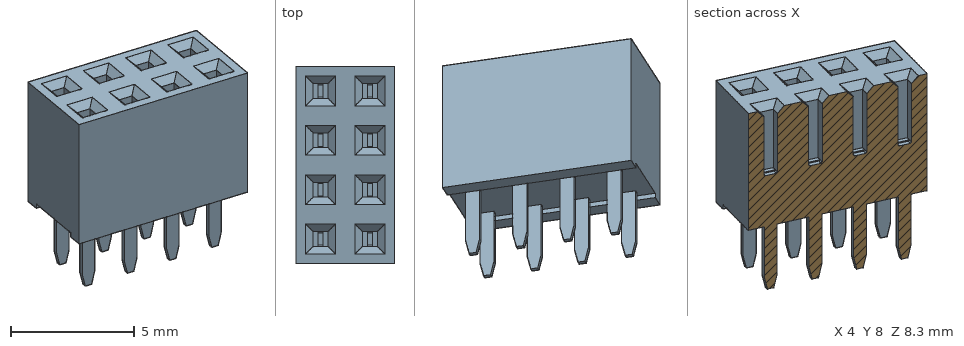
import cadquery as cq

pitch = 2.0
columns = 2
rows = 4
body_width = columns * pitch
body_length = rows * pitch
total_height = 8.3
body_height = 5.6
foot_height = 0.2
foot_width = 0.66

mouth_size = 1.2
throat_size = 0.6
lead_in_depth = (mouth_size - throat_size) / 2
well_depth = 2.99

slot_floor_length = 0.5
slot_depth = (throat_size - slot_floor_length) / 2

pin_thickness = 0.2
pin_width = 0.6
tip_width = 0.3
tip_height = 0.6

top_z = total_height
body_bottom_z = top_z - body_height
pin_root_z = body_bottom_z + foot_height


def make_housing():
    """Block with a shallow channel along Y that leaves a foot on each side."""
    block = cq.Workplane("XY").box(body_width, body_length, body_height, centered=(True, True, False))
    channel_width = body_width - 2 * foot_width
    channel = cq.Workplane("XY").box(channel_width, body_length, foot_height, centered=(True, True, False))
    return block.cut(channel).translate((0, 0, body_bottom_z))


def make_cavity():
    """Square well with a tapered lead-in and a shallow slot in its floor."""
    floor_z = top_z - well_depth
    well = (
        cq.Workplane("XY", origin=(0, 0, floor_z))
        .rect(throat_size, throat_size)
        .extrude(well_depth)
    )
    lead_in = (
        cq.Workplane("XY", origin=(0, 0, top_z - lead_in_depth))
        .rect(throat_size, throat_size)
        .workplane(offset=lead_in_depth)
        .rect(mouth_size, mouth_size)
        .loft(ruled=True)
    )
    slot = (
        cq.Workplane("XY", origin=(0, 0, floor_z - slot_depth))
        .rect(pin_thickness, slot_floor_length)
        .workplane(offset=slot_depth)
        .rect(pin_thickness, throat_size)
        .loft(ruled=True)
    )
    return well.union(lead_in).union(slot)


def make_pin():
    """Flat pin that narrows in Y towards its blunt tip."""
    outline = [
        (-tip_width / 2, 0),
        (tip_width / 2, 0),
        (pin_width / 2, tip_height),
        (pin_width / 2, pin_root_z),
        (-pin_width / 2, pin_root_z),
        (-pin_width / 2, tip_height),
    ]
    return cq.Workplane("YZ").polyline(outline).close().extrude(pin_thickness / 2, both=True)


cavity = make_cavity()
pin = make_pin()
result = make_housing()
for column in range(columns):
    for row in range(rows):
        x = (column - (columns - 1) / 2) * pitch
        y = (row - (rows - 1) / 2) * pitch
        result = result.cut(cavity.translate((x, y, 0))).union(pin.translate((x, y, 0)))